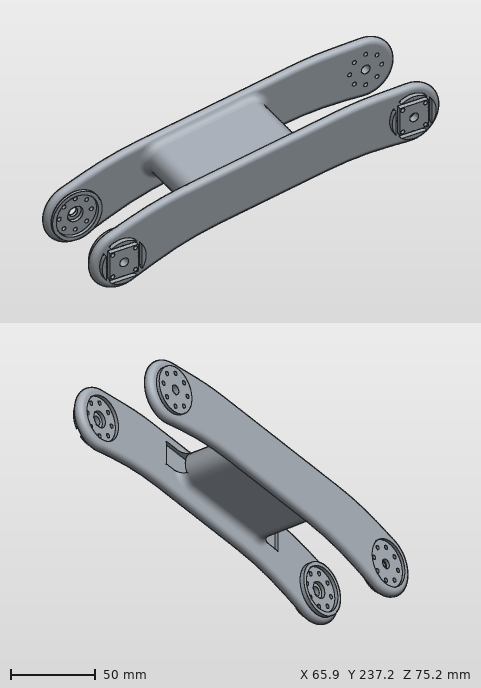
import cadquery as cq
import math

pad_height = 2.1
arm_thickness = 6.9
arm_gap = 47.0
disc_height = 3.0
left_arm_x = pad_height
left_inner_x = left_arm_x + arm_thickness
right_arm_x = left_inner_x + arm_gap
right_outer_x = right_arm_x + arm_thickness

rear_hub = (0.0, 0.0)
front_hub = (-197.0, -35.0)
overall_length = 237.2
hub_radius = (overall_length - (rear_hub[0] - front_hub[0])) / 2
bend_radius = 196.9
rim_radius = arm_thickness / 2
middle_half_width = 18.3
middle_point = (-94.9, -9.7)
middle_slope = 9.5
rear_top_slope = 2.0
rear_bottom_slope = -2.8
front_top_slope = 20.6
front_bottom_slope = 23.0

pad_diameter = 30.0
inner_pad_diameter = 33.7
recess_diameter = 28.7
left_recess_depth = 2.0
recess_depth = 1.0
left_inner_pad_height = 2.0
right_inner_pad_height = 2.8
bore_diameter = 6.0
counterbore_diameter = 10.5
counterbore_depth = 1.0
screw_hole_diameter = 2.5
screw_circle_radius = 11.0
screw_hole_count = 8
groove_width = 2.5

block_center = (-109.3, -8.8)
block_flat_length = 60.7
block_thickness = 20.0
block_fillet = 5.0
slot_length = 102.0
slot_height = 15.0
slot_depth_in_arm = 2.4
slot_rise = 0.7
selection_margin = 0.2


def forward(slope):
    """Unit vector pointing forward (-Y) and down by the slope in degrees."""
    return (-math.cos(math.radians(slope)), -math.sin(math.radians(slope)))


def edge_line(center, distance, slope, side):
    """Line beside a center: its foot point and direction. side is +1 above, -1 below."""
    direction = forward(slope)
    foot = (center[0] + side * distance * direction[1], center[1] - side * distance * direction[0])
    return foot, direction


def crossing(line_a, line_b):
    """Point where two lines meet."""
    (ay, az), (uy, uz) = line_a
    (by, bz), (vy, vz) = line_b
    along = ((by - ay) * vz - (bz - az) * vy) / (uy * vz - uz * vy)
    return (ay + along * uy, az + along * uz)


def bend(line_in, line_out):
    """Start and end of the arc that rounds the corner between two lines."""
    corner = crossing(line_in, line_out)
    (uy, uz), (vy, vz) = line_in[1], line_out[1]
    turn = math.acos(uy * vy + uz * vz)
    setback = bend_radius * math.tan(turn / 2)
    start = (corner[0] - setback * uy, corner[1] - setback * uz)
    end = (corner[0] + setback * vy, corner[1] + setback * vz)
    return start, end


def arm_edge(rear_slope, front_slope, side):
    """Start point, two bends and end point of the upper (+1) or lower (-1) arm edge, rear to front."""
    rear = edge_line(rear_hub, hub_radius, rear_slope, side)
    middle = edge_line(middle_point, middle_half_width, middle_slope, side)
    front = edge_line(front_hub, hub_radius, front_slope, side)
    return rear[0], bend(rear, middle), bend(middle, front), front[0]


def arm_profile(x):
    """Closed outline of an arm on the plane at x."""
    rear_top, top_1, top_2, front_top = arm_edge(rear_top_slope, front_top_slope, 1)
    rear_low, low_1, low_2, front_low = arm_edge(rear_bottom_slope, front_bottom_slope, -1)
    tip = forward((front_top_slope + front_bottom_slope) / 2)
    heel = forward((rear_top_slope + rear_bottom_slope) / 2)
    front_tip = (front_hub[0] + hub_radius * tip[0], front_hub[1] + hub_radius * tip[1])
    rear_tip = (rear_hub[0] - hub_radius * heel[0], rear_hub[1] - hub_radius * heel[1])
    return (
        cq.Workplane("YZ", origin=(x, 0, 0))
        .moveTo(*rear_top)
        .lineTo(*top_1[0])
        .tangentArcPoint(top_1[1], relative=False)
        .lineTo(*top_2[0])
        .tangentArcPoint(top_2[1], relative=False)
        .lineTo(*front_top)
        .threePointArc(front_tip, front_low)
        .lineTo(*low_2[1])
        .tangentArcPoint(low_2[0], relative=False)
        .lineTo(*low_1[1])
        .tangentArcPoint(low_1[0], relative=False)
        .lineTo(*rear_low)
        .threePointArc(rear_tip, rear_top)
        .close()
    )


def arm(x):
    """Plate with a fully rounded rim: a flat core with a round rod swept along its edge."""
    core = arm_profile(x).offset2D(-rim_radius).extrude(arm_thickness)
    rod_path = arm_profile(x + rim_radius).offset2D(-rim_radius)
    first_edge = rod_path.edges().vals()[0]
    along = first_edge.tangentAt(0)
    inward = cq.Vector(0, -along.z, along.y)
    rod_plane = cq.Plane(first_edge.startPoint(), xDir=inward, normal=along)
    rod = cq.Workplane(rod_plane).circle(rim_radius).sweep(rod_path)
    return core.union(rod)


def cylinder(hub, diameter, x_start, x_end):
    """Cylinder along X centered on a hub."""
    plane = cq.Workplane("YZ", origin=(x_start, 0, 0))
    return plane.center(*hub).circle(diameter / 2).extrude(x_end - x_start)


def block():
    """Round-ended slab that spans the gap and leans with the arms."""
    return (
        cq.Workplane("YZ", origin=(left_inner_x, 0, 0))
        .center(*block_center)
        .transformed(rotate=(0, 0, middle_slope))
        .slot2D(block_flat_length + block_thickness, block_thickness)
        .extrude(arm_gap)
    )


def fillet_block_joint(body, x):
    """Round the corner where the block meets the arm face at x."""
    reach = (block_flat_length + block_thickness) / 2
    near = (x - selection_margin, block_center[0] - reach, block_center[1] - reach)
    far = (x + selection_margin, block_center[0] + reach, block_center[1] + reach)
    joint = cq.selectors.BoxSelector(near, far, boundingbox=True)
    return body.edges(joint).fillet(block_fillet)


def cable_slot():
    """Slanted slot between the block and the right arm, sunk a little into the arm."""
    half_drop = slot_length / 2 * math.tan(math.radians(middle_slope))
    half_length = slot_length / 2
    half_height = slot_height / 2
    return (
        cq.Workplane("YZ", origin=(right_arm_x - block_fillet, 0, 0))
        .center(block_center[0], block_center[1] + slot_rise)
        .moveTo(half_length, half_drop - half_height)
        .lineTo(half_length, half_drop + half_height)
        .lineTo(-half_length, half_height - half_drop)
        .lineTo(-half_length, -half_height - half_drop)
        .close()
        .extrude(block_fillet + slot_depth_in_arm)
    )


def screw_holes(hub):
    """Ring of small through holes around a hub."""
    return (
        cq.Workplane("YZ")
        .center(*hub)
        .polarArray(screw_circle_radius, 0, 360, screw_hole_count)
        .circle(screw_hole_diameter / 2)
        .extrude(right_outer_x + disc_height)
    )


def grooved_disc(hub):
    """Disc on the outer face of the right arm, crossed by two pairs of straight grooves."""
    disc = cylinder(hub, pad_diameter, right_outer_x, right_outer_x + disc_height)
    groove_centers = [(-screw_circle_radius, 0), (screw_circle_radius, 0)]
    for turn in (0, 90):
        grooves = (
            cq.Workplane("YZ", origin=(right_outer_x, *hub))
            .transformed(rotate=(0, 0, turn))
            .pushPoints(groove_centers)
            .rect(groove_width, pad_diameter)
            .extrude(disc_height)
        )
        disc = disc.cut(grooves)
    return disc


def cut_stepped_recess(body, hub, face_x, inward):
    """Shallow round recess with a counterbore in its floor. inward is +1 or -1 along X."""
    floor_x = face_x + inward * recess_depth
    bottom_x = floor_x + inward * counterbore_depth
    recess = cylinder(hub, recess_diameter, face_x, floor_x)
    counterbore = cylinder(hub, counterbore_diameter, floor_x, bottom_x)
    return body.cut(recess).cut(counterbore)


body = arm(left_arm_x).union(arm(right_arm_x)).union(block())
for joint_x in (left_inner_x, right_arm_x):
    body = fillet_block_joint(body, joint_x)
body = body.cut(cable_slot())

body = body.union(cylinder(rear_hub, pad_diameter, 0, left_arm_x))
body = body.union(cylinder(front_hub, inner_pad_diameter, left_inner_x, left_inner_x + left_inner_pad_height))
body = body.union(cylinder(front_hub, inner_pad_diameter, right_arm_x - right_inner_pad_height, right_arm_x))
for hub in (rear_hub, front_hub):
    body = body.union(grooved_disc(hub))

body = body.cut(cylinder(front_hub, pad_diameter, left_arm_x, left_arm_x + left_recess_depth))
body = cut_stepped_recess(body, front_hub, left_inner_x + left_inner_pad_height, -2.4)
body = cut_stepped_recess(body, front_hub, right_arm_x - right_inner_pad_height, 2.4)
body = cut_stepped_recess(body, rear_hub, right_arm_x, 2.4)
for hub in (rear_hub, front_hub):
    body = body.cut(cylinder(hub, bore_diameter, 0, right_outer_x + disc_height))
    body = body.cut(screw_holes(hub))

result = body